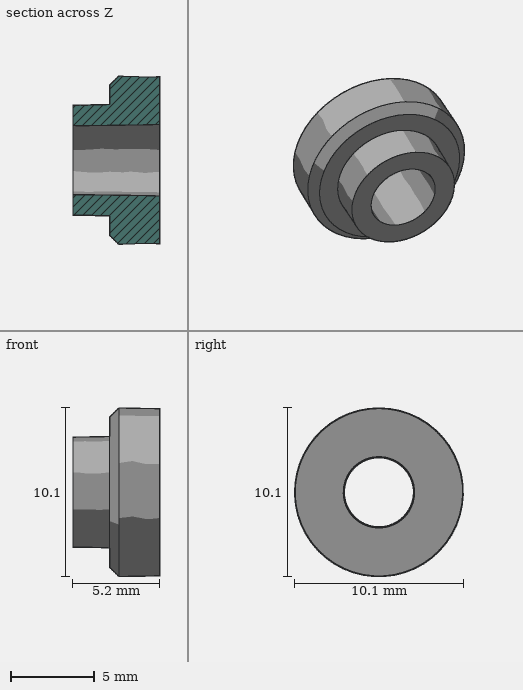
import cadquery as cq
import math

total_length = 5.2
hub_length = 2.2
draft_angle = 1.0
hub_end_radius = 3.3
flange_end_radius = 5.0
bevel_depth = 0.55
bevel_height = 0.54
bore_start_radius = 2.06
bore_draft_angle = 0.8

AXIS_START = (0, 0, 0)
AXIS_END = (1, 0, 0)

draft_slope = math.tan(math.radians(draft_angle))
bevel_end = hub_length + bevel_depth
hub_root_radius = hub_end_radius + hub_length * draft_slope
flange_max_radius = flange_end_radius + (total_length - bevel_end) * draft_slope
flange_face_radius = flange_max_radius - bevel_height
bore_draft_slope = math.tan(math.radians(bore_draft_angle))
bore_end_radius = bore_start_radius + total_length * bore_draft_slope


def drafted_body():
    """Revolve the stepped outer outline: tapered hub, bevel and tapered flange."""
    return (
        cq.Workplane("XZ")
        .moveTo(0, 0)
        .lineTo(0, hub_end_radius)
        .lineTo(hub_length, hub_root_radius)
        .lineTo(hub_length, flange_face_radius)
        .lineTo(bevel_end, flange_max_radius)
        .lineTo(total_length, flange_end_radius)
        .lineTo(total_length, 0)
        .close()
        .revolve(360, AXIS_START, AXIS_END)
    )


def through_bore():
    """Slightly tapered bore along the X axis that opens both ends of the body."""
    return (
        cq.Workplane("XZ")
        .moveTo(0, 0)
        .lineTo(0, bore_start_radius)
        .lineTo(total_length, bore_end_radius)
        .lineTo(total_length, 0)
        .close()
        .revolve(360, AXIS_START, AXIS_END)
    )


result = drafted_body().cut(through_bore())